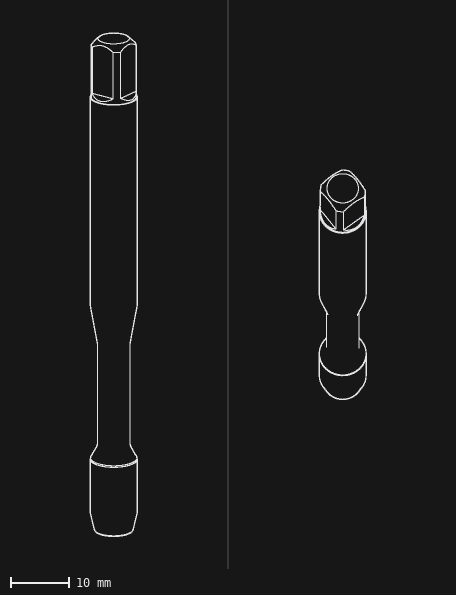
import cadquery as cq

total_length = 90.1
shank_diameter = 8.1

head_diameter = 8.1
head_tip_diameter = 6.5
head_lead_diameter = 6.8
head_tip_chamfer_height = 0.2
head_lead_length = 3.15
head_length = 13.0

shoulder_diameter = 8.0
shoulder_rim_z = 13.2
shoulder_top_diameter = 5.95
shoulder_top_z = 15.1
neck_diameter = 5.7
neck_start_z = 15.7
neck_end_z = 34.2
taper_end_z = 41.2

drive_start_z = 79.4
drive_corner_diameter = 7.75
drive_width = 6.3
drive_flat_start_z = 80.5
drive_top_diameter = 5.4
drive_chamfer = (drive_corner_diameter - drive_top_diameter) / 2


def revolve_profile(points):
    """Revolve (radius, z) points about the Z axis."""
    return cq.Workplane("XZ").polyline(points).close().revolve(360, (0, 0), (0, 1))


def make_head():
    """Plain cylinder for the thread, with a chamfered, tapered lead at its lower end."""
    return revolve_profile([
        (0, 0),
        (head_tip_diameter / 2, 0),
        (head_lead_diameter / 2, head_tip_chamfer_height),
        (head_diameter / 2, head_lead_length),
        (head_diameter / 2, head_length),
        (0, head_length),
    ])


def make_drive_envelope():
    """Square prism that flares out at 45 degrees below the drive flats."""
    flare_depth = drive_width / 2
    flare_start_z = drive_flat_start_z - flare_depth
    flare_start_width = drive_width + 2 * flare_depth
    prism = (
        cq.Workplane("XY", origin=(0, 0, drive_flat_start_z))
        .rect(drive_width, drive_width)
        .extrude(total_length - drive_flat_start_z)
    )
    flare = (
        cq.Workplane("XY", origin=(0, 0, flare_start_z))
        .rect(flare_start_width, flare_start_width)
        .workplane(offset=flare_depth)
        .rect(drive_width, drive_width)
        .loft(ruled=True)
    )
    base = (
        cq.Workplane("XY")
        .rect(flare_start_width, flare_start_width)
        .extrude(flare_start_z)
    )
    return base.union(flare).union(prism)


def make_shank():
    """Shoulder, neck, taper, cylindrical shank and square drive in one piece."""
    turned = revolve_profile([
        (0, head_length),
        (shoulder_diameter / 2, head_length),
        (shoulder_diameter / 2, shoulder_rim_z),
        (shoulder_top_diameter / 2, shoulder_top_z),
        (neck_diameter / 2, neck_start_z),
        (neck_diameter / 2, neck_end_z),
        (shank_diameter / 2, taper_end_z),
        (shank_diameter / 2, drive_start_z),
        (drive_corner_diameter / 2, drive_start_z),
        (drive_corner_diameter / 2, total_length - drive_chamfer),
        (drive_top_diameter / 2, total_length),
        (0, total_length),
    ])
    return turned.intersect(make_drive_envelope())


head = make_head()
shank = make_shank()

result = cq.Compound.makeCompound([head.val(), shank.val()])